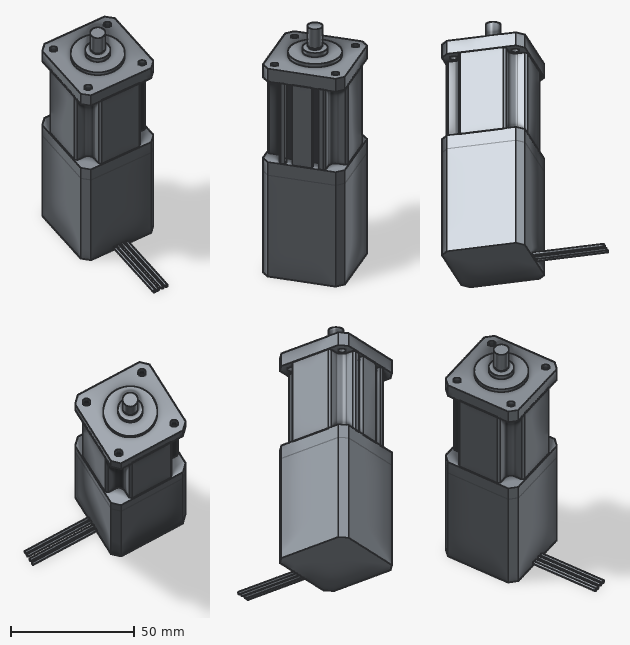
import cadquery as cq
import math

frame_width = 35.0
frame_chamfer = 3.0

motor_height = 46.3
plate_thickness = 5.9
gearbox_height = 36.7
total_height = 108.1

housing_width = 34.2
housing_edge_chamfer = 0.9
screw_spacing = 26.0
screw_relief_radius = 3.0

slot_offset = 5.7
slot_mouth_width = 3.0
slot_lip_thickness = 2.0
slot_undercut = 1.8
slot_depth = 5.0

screw_hole_diameter = 3.2
pilot_diameter = 22.0
pilot_height = 1.6
collar_diameter = 10.2
collar_height = 1.9
neck_diameter = 5.0
neck_height = 1.0
shaft_diameter = 6.2

wire_diameter = 1.2
wire_length = 30.0
wire_height = 1.3
wire_positions = [2.7, 0.7, -1.5, -3.1]
wire_embed = 1.0

housing_base = motor_height + plate_thickness
flange_base = housing_base + gearbox_height
flange_top = flange_base + plate_thickness
screw_offset = screw_spacing / 2


def frame_block(base, height):
    """Square block with chamfered vertical edges."""
    block = cq.Workplane("XY").workplane(offset=base).rect(frame_width, frame_width).extrude(height)
    return block.edges("|Z").chamfer(frame_chamfer)


def corner_relief(x_sign, y_sign):
    """Cutter opening a housing corner around its screw axis."""
    outer = housing_width / 2
    inner = screw_offset - screw_relief_radius
    mouth = inner - housing_edge_chamfer
    shoulder = outer - housing_edge_chamfer
    arc_middle = screw_offset - screw_relief_radius / math.sqrt(2)

    def at(x, y):
        return (x_sign * x, y_sign * y)

    return (
        cq.Workplane("XY")
        .workplane(offset=housing_base)
        .moveTo(*at(mouth, outer))
        .lineTo(*at(inner, shoulder))
        .lineTo(*at(inner, screw_offset))
        .threePointArc(at(arc_middle, arc_middle), at(screw_offset, inner))
        .lineTo(*at(shoulder, inner))
        .lineTo(*at(outer, mouth))
        .lineTo(*at(outer, outer))
        .close()
        .extrude(gearbox_height)
    )


def slot_box(y, near_depth, far_depth, width):
    """Full-height box between two depths below the -X face."""
    depth = far_depth - near_depth
    center_x = -housing_width / 2 + near_depth + depth / 2
    return (
        cq.Workplane("XY")
        .workplane(offset=housing_base)
        .center(center_x, y)
        .rect(depth, width)
        .extrude(gearbox_height)
    )


def t_slot(y):
    """Cutter for one T-slot: a narrow mouth with a wider cavity behind it."""
    cavity_width = slot_mouth_width + 2 * slot_undercut
    mouth = slot_box(y, 0, slot_lip_thickness, slot_mouth_width)
    cavity = slot_box(y, slot_lip_thickness, slot_depth, cavity_width)
    return mouth.union(cavity)


def gearbox_housing():
    """Extruded housing with open screw corners and two T-slots."""
    housing = (
        cq.Workplane("XY")
        .workplane(offset=housing_base)
        .rect(housing_width, housing_width)
        .extrude(gearbox_height)
    )
    for x_sign in (-1, 1):
        for y_sign in (-1, 1):
            housing = housing.cut(corner_relief(x_sign, y_sign))
    for y in (-slot_offset, slot_offset):
        housing = housing.cut(t_slot(y))
    return housing


def output_flange():
    """Top plate with four through screw holes."""
    flange = frame_block(flange_base, plate_thickness)
    holes = (
        cq.Workplane("XY")
        .workplane(offset=flange_base)
        .rect(screw_spacing, screw_spacing, forConstruction=True)
        .vertices()
        .circle(screw_hole_diameter / 2)
        .extrude(plate_thickness)
    )
    return flange.cut(holes)


def output_shaft():
    """Pilot, collar, neck and shaft stacked on the flange."""
    shaft_height = total_height - flange_top - pilot_height - collar_height - neck_height
    return (
        cq.Workplane("XY")
        .workplane(offset=flange_top)
        .circle(pilot_diameter / 2)
        .extrude(pilot_height)
        .faces(">Z")
        .workplane()
        .circle(collar_diameter / 2)
        .extrude(collar_height)
        .faces(">Z")
        .workplane()
        .circle(neck_diameter / 2)
        .extrude(neck_height)
        .faces(">Z")
        .workplane()
        .circle(shaft_diameter / 2)
        .extrude(shaft_height)
    )


def lead_wires():
    """Four parallel wires, rooted slightly inside the motor."""
    points = [(y, wire_height) for y in wire_positions]
    return (
        cq.Workplane("YZ")
        .workplane(offset=frame_width / 2 - wire_embed)
        .pushPoints(points)
        .circle(wire_diameter / 2)
        .extrude(wire_length + wire_embed)
    )


motor = frame_block(0, motor_height)
motor_plate = frame_block(motor_height, plate_thickness)

result = (
    motor.union(motor_plate, clean=False)
    .union(gearbox_housing(), clean=False)
    .union(output_flange(), clean=False)
    .union(output_shaft(), clean=False)
    .union(lead_wires(), clean=False)
)